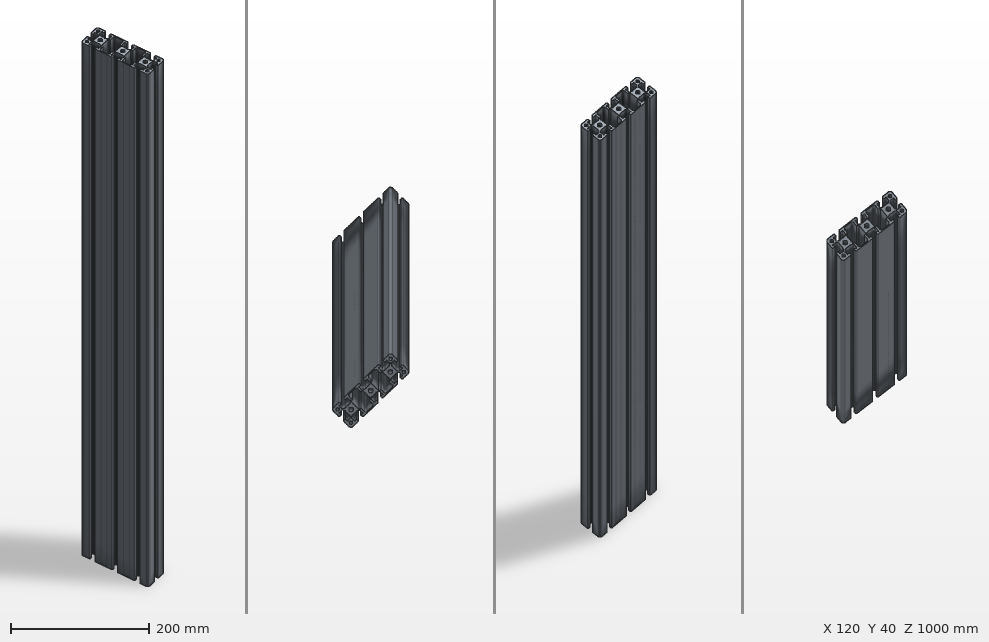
import cadquery as cq
import math

WIDTH = 120.0
DEPTH = 40.0
LENGTH = 1000.0
CORNER_RADIUS = 4.0

MODULE = 40.0
SLOT_OPENING = 8.5
SLOT_DEPTH = 12.4
SLOT_INNER_WIDTH = 16.8
LIP_EDGE_RADIUS = 1.4
LIP_TIP_THICKNESS = 4.4
LIP_ROOT_THICKNESS = 3.6
UNDERCUT_RADIUS = 0.2
FLOOR_WIDTH = 6.8
FLOOR_CORNER_RADIUS = 6.5
FLOOR_TAPER_ANGLE = 45.0

CORE_HOLE_DIAMETER = 6.7

CAVITY_WALL = 1.6
CAVITY_WIDTH = 16.7
CAVITY_WAIST_WIDTH = 23.6
CAVITY_WAIST_HEIGHT = 16.2
CAVITY_SHOULDER_HEIGHT = 18.0
CAVITY_CORNER_RADIUS = 3.0

CORNER_HOLLOW_DIAMETER = 5.0
CORNER_HOLLOW_INSET = 6.2

MODULE_CENTRES = [-MODULE, 0.0, MODULE]
CAVITY_CENTRES = [-MODULE / 2, MODULE / 2]


def body():
    """Plain bar with rounded long edges."""
    bar = cq.Workplane("XY").rect(WIDTH, DEPTH).extrude(LENGTH)
    return bar.edges("|Z").fillet(CORNER_RADIUS)


def mirrored_outline(right_side):
    """Right-hand points, listed top to bottom, followed by their mirror image in X = 0."""
    return right_side + [(-x, y) for x, y in reversed(right_side)]


def fillet_at(solid, points, radius):
    """Round the long edges of a prism that pass through the given outline points."""
    for x, y in points:
        nearest = cq.selectors.NearestToPointSelector((x, y, LENGTH / 2))
        solid = solid.edges("|Z").edges(nearest).fillet(radius)
    return solid


def slot_cutter():
    """Slot with its mouth on Y = 0 and running into -Y: rounded lips, undercut, tapered floor."""
    taper = math.radians(FLOOR_TAPER_ANGLE)
    mouth = SLOT_OPENING / 2
    flare = mouth + LIP_EDGE_RADIUS
    inner = SLOT_INNER_WIDTH / 2
    floor = FLOOR_WIDTH / 2 + FLOOR_CORNER_RADIUS * math.tan(taper / 2)
    lip_edge = (mouth, -LIP_EDGE_RADIUS)
    undercut_corner = (inner, -LIP_ROOT_THICKNESS)
    taper_corner = (inner, -SLOT_DEPTH + (inner - floor) * math.tan(taper))
    floor_corner = (floor, -SLOT_DEPTH)
    right_side = [
        lip_edge,
        (mouth, -LIP_TIP_THICKNESS),
        undercut_corner,
        taper_corner,
        floor_corner,
    ]
    outline = cq.Workplane("XY").moveTo(flare, 0).radiusArc(lip_edge, -LIP_EDGE_RADIUS)
    for x, y in mirrored_outline(right_side)[1:]:
        outline = outline.lineTo(x, y)
    outline = outline.radiusArc((-flare, 0), -LIP_EDGE_RADIUS)
    cutter = outline.close().extrude(LENGTH)
    cutter = fillet_at(cutter, mirrored_outline([undercut_corner, taper_corner]), UNDERCUT_RADIUS)
    return cutter.edges("|Z").edges("<Y").fillet(FLOOR_CORNER_RADIUS)


def turned(cutter, angle):
    """Copy of a cutter turned about the Z axis."""
    return cutter.rotate((0, 0, 0), (0, 0, 1), angle)


def slots():
    """Cutters for all eight slots."""
    slot = slot_cutter()
    back_slot = slot.translate((0, DEPTH / 2, 0))
    front_slot = turned(back_slot, 180)
    side_slot = slot.translate((0, WIDTH / 2, 0))
    cutters = [turned(side_slot, 90), turned(side_slot, -90)]
    for x in MODULE_CENTRES:
        cutters.append(back_slot.translate((x, 0, 0)))
        cutters.append(front_slot.translate((x, 0, 0)))
    return cutters


def cavity_cutter():
    """Tall hollow that widens at mid-depth, where it lies between the slot floors."""
    side = CAVITY_WIDTH / 2
    waist = CAVITY_WAIST_WIDTH / 2
    top = DEPTH / 2 - CAVITY_WALL
    shoulder = CAVITY_SHOULDER_HEIGHT / 2
    waist_top = CAVITY_WAIST_HEIGHT / 2
    right_side = [
        (side, top),
        (side, shoulder),
        (waist, waist_top),
        (waist, -waist_top),
        (side, -shoulder),
        (side, -top),
    ]
    cutter = cq.Workplane("XY").polyline(mirrored_outline(right_side)).close().extrude(LENGTH)
    roof_corners = mirrored_outline([(side, top), (side, -top)])
    return fillet_at(cutter, roof_corners, CAVITY_CORNER_RADIUS)


def core_holes():
    """Round holes along the centre of every module."""
    centres = [(x, 0) for x in MODULE_CENTRES]
    return cq.Workplane("XY").pushPoints(centres).circle(CORE_HOLE_DIAMETER / 2).extrude(LENGTH)


def corner_hollows():
    """Round hollows in the four outer corners."""
    spacing_x = WIDTH - 2 * CORNER_HOLLOW_INSET
    spacing_y = DEPTH - 2 * CORNER_HOLLOW_INSET
    centres = cq.Workplane("XY").rarray(spacing_x, spacing_y, 2, 2)
    return centres.circle(CORNER_HOLLOW_DIAMETER / 2).extrude(LENGTH)


result = body()
for slot in slots():
    result = result.cut(slot)
cavity = cavity_cutter()
for centre in CAVITY_CENTRES:
    result = result.cut(cavity.translate((centre, 0, 0)))
result = result.cut(core_holes())
result = result.cut(corner_hollows())